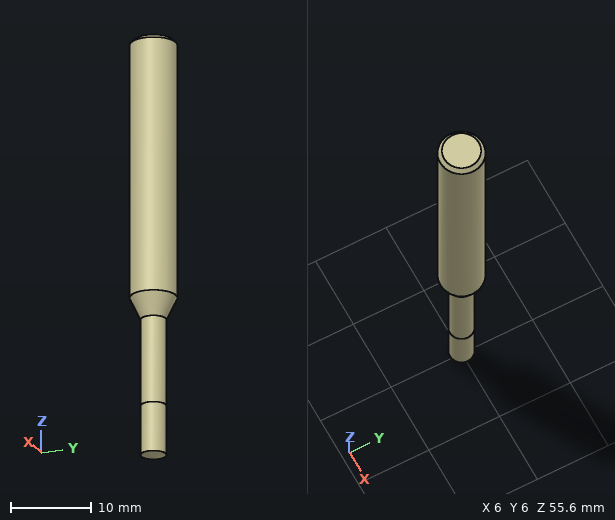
import cadquery as cq

total_length = 55.6
shank_diameter = 6.0
neck_diameter = 3.3
shank_radius = shank_diameter / 2
neck_radius = neck_diameter / 2

point_height = 0.6
tip_length = 7.1
neck_top = 18.55
taper_top = 21.45

end_chamfer = 0.55

tip_z = -total_length / 2


def revolve_profile(points):
    """Revolve a half outline of (radius, height above tip) about the Z axis."""
    outline = cq.Workplane("XZ", origin=(0, 0, tip_z)).polyline(points).close()
    return outline.revolve(360, (0, 0), (0, 1))


def make_cutting_tip():
    """Short cylinder with a shallow conical point at its lower end."""
    return revolve_profile([
        (0, 0),
        (neck_radius, point_height),
        (neck_radius, tip_length),
        (0, tip_length),
    ])


def make_shank():
    """Thick shank that tapers down to the neck, which rests on the cutting tip."""
    return revolve_profile([
        (0, tip_length),
        (neck_radius, tip_length),
        (neck_radius, neck_top),
        (shank_radius, taper_top),
        (shank_radius, total_length - end_chamfer),
        (shank_radius - end_chamfer, total_length),
        (0, total_length),
    ])


cutting_tip = make_cutting_tip()
shank = make_shank()

result = cq.Compound.makeCompound([cutting_tip.val(), shank.val()])